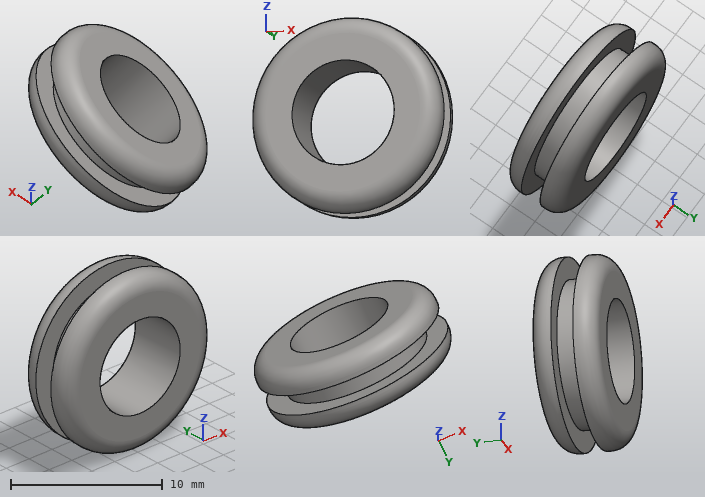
import cadquery as cq

outer_diameter = 13.0
groove_diameter = 10.0
bore_diameter = 7.0
total_width = 4.5
flange_width = total_width / 3
groove_width = total_width - 2 * flange_width
rim_radius = 1.2


def cylinder(diameter, width):
    """Solid cylinder along Y, centred on the origin."""
    return cq.Workplane("XZ", origin=(0, width / 2, 0)).circle(diameter / 2).extrude(width)


body = cylinder(outer_diameter, total_width).faces("<Y or >Y").edges().fillet(rim_radius)

groove = cylinder(outer_diameter, groove_width).cut(cylinder(groove_diameter, groove_width))

bore = cylinder(bore_diameter, total_width)

result = body.cut(groove).cut(bore)